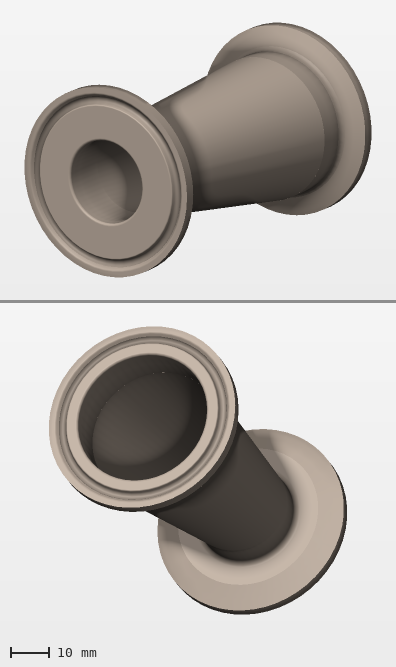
import cadquery as cq
import math

total_length = 76.2
ferrule_length = 12.65

wall = 1.7
small_radius = 25.4 / 2
large_radius = 38.1 / 2
axis_offset = large_radius - small_radius

flange_radius = 50.4 / 2
lip_thickness = 2.9
flange_thickness = 5.1
back_angle = 19.5
neck_fillet = 1.5
bore_round = 0.7

groove_inner_radius = 20.5
groove_outer_radius = 23.5
floor_inner_radius = 20.7
floor_outer_radius = 22.7
wall_depth = 0.8
groove_depth = 1.5
inner_edge_round = 0.4
outer_edge_round = 0.8

tolerance = 0.01


def circle_edges(body, radius, height):
    """Circular edges about the Y axis with the given radius and height."""
    return [
        edge for edge in body.edges("%CIRCLE").vals()
        if abs(edge.radius() - radius) < tolerance
        and abs(edge.Center().y - height) < tolerance
    ]


def round_circle(body, radius, height, fillet):
    """Fillet one circular edge about the Y axis."""
    edges = circle_edges(body, radius, height)
    return body.newObject(edges).fillet(fillet)


def ring_groove():
    """Round-bottomed ring that forms the gasket groove."""
    floor_middle_radius = (floor_inner_radius + floor_outer_radius) / 2
    return (
        cq.Workplane("XY")
        .moveTo(groove_inner_radius, 0)
        .lineTo(floor_inner_radius, wall_depth)
        .threePointArc((floor_middle_radius, groove_depth), (floor_outer_radius, wall_depth))
        .lineTo(groove_outer_radius, 0)
        .close()
        .revolve(360, (0, 0), (0, 1))
    )


def ferrule(tube_radius):
    """Clamp ferrule on the Y axis, flange face at Y = 0 and tube end toward +Y."""
    bore_radius = tube_radius - wall

    slope = math.tan(math.radians(back_angle))
    slope_height = min(flange_thickness - lip_thickness, (flange_radius - tube_radius) * slope)
    slope_end_radius = flange_radius - slope_height / slope
    neck_height = lip_thickness + slope_height

    profile = cq.Workplane("XY").moveTo(bore_radius, 0)
    profile = profile.lineTo(flange_radius, 0)
    profile = profile.lineTo(flange_radius, lip_thickness)
    profile = profile.lineTo(slope_end_radius, neck_height)
    if slope_end_radius > tube_radius + tolerance:
        profile = profile.lineTo(tube_radius, neck_height)
    profile = profile.lineTo(tube_radius, ferrule_length)
    profile = profile.lineTo(bore_radius, ferrule_length)
    body = profile.close().revolve(360, (0, 0), (0, 1))

    body = round_circle(body, tube_radius, neck_height, neck_fillet)
    body = round_circle(body, bore_radius, 0, bore_round)
    body = body.cut(ring_groove())
    body = round_circle(body, groove_inner_radius, 0, inner_edge_round)
    body = round_circle(body, groove_outer_radius, 0, outer_edge_round)
    return body


def oblique_cone(start_radius, end_radius):
    """Solid lofted between the ferrule ends, from the small axis to the large axis."""
    return (
        cq.Workplane("XZ", origin=(0, ferrule_length, 0))
        .circle(start_radius)
        .workplane(offset=-(total_length - 2 * ferrule_length))
        .center(axis_offset, 0)
        .circle(end_radius)
        .loft(ruled=True)
    )


def eccentric_reducer():
    """Hollow oblique cone joining the two ferrules."""
    outside = oblique_cone(small_radius, large_radius)
    inside = oblique_cone(small_radius - wall, large_radius - wall)
    return outside.cut(inside)


small_ferrule = ferrule(small_radius)
large_ferrule = (
    ferrule(large_radius)
    .rotate((0, 0, 0), (0, 0, 1), 180)
    .translate((axis_offset, total_length, 0))
)
reducer = eccentric_reducer()

result = cq.Compound.makeCompound([small_ferrule.val(), reducer.val(), large_ferrule.val()])